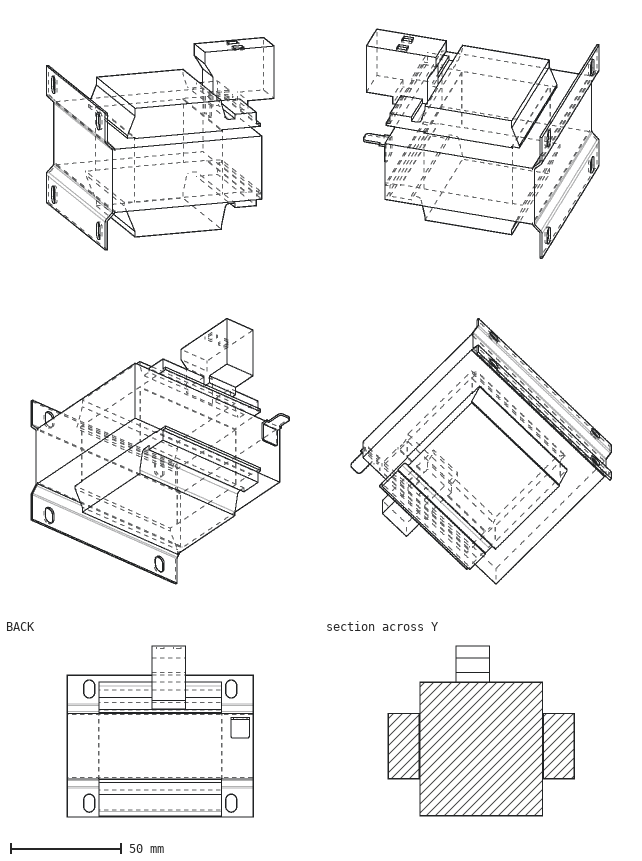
import cadquery as cq
import math


plate_width = 84.0
plate_height = 64.0
plate_thickness = 1.0
web_depth = 3.5
bend_start_z = 14.6
bend_inner_radius = 0.9
bend_outer_radius = bend_inner_radius + plate_thickness

slot_spacing_x = 64.0
slot_spacing_z = 51.5
slot_width = 4.8
slot_length = 8.0

core_front_y = web_depth + plate_thickness
core_back_y = 74.4
core_height = 29.6
core_top_z = core_height / 2
window_front_y = 18.6
window_back_y = 60.5
window_half_width = 27.9

bobbin_half_width = 27.6
winding_front_y = 19.0
winding_back_y = 60.1
back_wall_height = 1.9
flange_gap = 0.4
lip_top_z = 16.5
lip_back_y = 78.5
rail_back_y = 76.7
rail_front_y = 66.5
rail_top_z = 21.9
groove_floor_z = 19.7
groove_arc_back_y = 63.7
groove_arc_front_y = 62.0
groove_arc_top_z = 20.8
front_slope_run = 0.41
front_slope_foot_z = 16.4
upper_winding_height = 28.8
upper_front_y = 15.35
lower_winding_height = 31.45
lower_front_y = 13.9
lower_gap_front_y = 71.65

block_width = 15.3
block_center_x = -3.8
block_back_y = 93.05
block_top_z = 45.1
block_bottom_z = 20.6
block_front_y = 64.0
nose_front_y = winding_back_y
nose_bottom_z = 39.6
nose_root_z = 33.1
foot_back_y = 80.6
foot_bottom_z = 16.75

pocket_spacing = 7.6
pocket_width = 3.4
pocket_front_y = 74.9
pocket_back_y = 79.5
pocket_depth = 1.0

tab_center_x = -36.0
tab_thickness = 1.0
tab_top_z = 12.9
tab_base_width = 8.4
tab_base_back_y = 77.8
tab_blade_width = 6.1
tab_tip_y = 86.1
tab_tip_radius = 1.7
tab_leg_corner_radius = 1.1
tab_leg_thickness = 0.7
tab_leg_bottom_z = 3.5


def box(x_range, y_range, z_range):
    """Box between the given limits on each axis."""
    lengths = [high - low for low, high in (x_range, y_range, z_range)]
    corner = (x_range[0], y_range[0], z_range[0])
    return cq.Workplane("XY").box(*lengths, centered=False).translate(corner)


def extrude_along_x(points, width, center_x=0.0):
    """Extrude a closed (y, z) outline to a full width centred on center_x."""
    profile = cq.Workplane("YZ", origin=(center_x, 0, 0)).polyline(points).close()
    return profile.extrude(width / 2, both=True)


def fillet_x_edge(solid, y, z, radius):
    """Round the edge parallel to X that passes through (y, z)."""
    nearest = cq.NearestToPointSelector((solid.val().Center().x, y, z))
    return solid.edges("|X").edges(nearest).fillet(radius)


def make_plate():
    shift = plate_thickness * math.tan(math.radians(45 / 2))
    bend_end_z = bend_start_z + web_depth
    half_height = plate_height / 2
    upper = [
        (web_depth, bend_start_z),
        (0, bend_end_z),
        (0, half_height),
        (plate_thickness, half_height),
        (plate_thickness, bend_end_z + shift),
        (core_front_y, bend_start_z + shift),
    ]
    lower = [(y, -z) for y, z in reversed(upper)]
    plate = extrude_along_x(upper + lower, plate_width)
    for side in (1, -1):
        plate = fillet_x_edge(plate, web_depth, side * bend_start_z, bend_inner_radius)
        plate = fillet_x_edge(plate, 0, side * bend_end_z, bend_outer_radius)
        plate = fillet_x_edge(plate, plate_thickness, side * (bend_end_z + shift), bend_inner_radius)
        plate = fillet_x_edge(plate, core_front_y, side * (bend_start_z + shift), bend_outer_radius)
    slots = (
        cq.Workplane("XZ")
        .rarray(slot_spacing_x, slot_spacing_z, 2, 2)
        .slot2D(slot_length, slot_width, 90)
        .extrude(core_front_y, both=True)
    )
    return plate.cut(slots)


def make_core():
    half_width = plate_width / 2
    z_range = (-core_top_z, core_top_z)
    core = box((-half_width, half_width), (core_front_y, core_back_y), z_range)
    window_y = (window_front_y, window_back_y)
    core = core.cut(box((bobbin_half_width, window_half_width), window_y, z_range))
    return core.cut(box((-window_half_width, -bobbin_half_width), window_y, z_range))


def make_bobbin_end(height, front_y, gaps):
    """Part of the bobbin above the core, cut clear of it over the given y ranges."""
    front_slope_top_z = front_slope_foot_z + (winding_front_y - front_y) / front_slope_run
    end = (
        cq.Workplane("YZ")
        .moveTo(front_y, core_top_z)
        .lineTo(lip_back_y, core_top_z)
        .lineTo(lip_back_y, lip_top_z)
        .lineTo(rail_back_y, lip_top_z)
        .lineTo(rail_back_y, rail_top_z)
        .lineTo(rail_front_y, rail_top_z)
        .lineTo(rail_front_y, groove_floor_z)
        .lineTo(groove_arc_back_y, groove_floor_z)
        .tangentArcPoint((groove_arc_front_y, groove_arc_top_z), relative=False)
        .lineTo(winding_back_y, height - back_wall_height)
        .lineTo(winding_back_y, height)
        .lineTo(winding_front_y, height)
        .lineTo(winding_front_y, front_slope_top_z)
        .lineTo(front_y, front_slope_foot_z)
        .close()
        .extrude(bobbin_half_width, both=True)
    )
    for y_range in gaps:
        x_range = (-bobbin_half_width, bobbin_half_width)
        end = end.cut(box(x_range, y_range, (core_top_z, core_top_z + flange_gap)))
    return end


def make_block():
    block = extrude_along_x(
        [
            (block_back_y, block_top_z),
            (nose_front_y, block_top_z),
            (nose_front_y, nose_bottom_z),
            (block_front_y, nose_root_z),
            (block_front_y, groove_floor_z),
            (rail_back_y, groove_floor_z),
            (rail_back_y, foot_bottom_z),
            (foot_back_y, foot_bottom_z),
            (foot_back_y, block_bottom_z),
            (block_back_y, block_bottom_z),
        ],
        block_width,
        block_center_x,
    )
    for side in (1, -1):
        center_x = block_center_x + side * pocket_spacing / 2
        x_range = (center_x - pocket_width / 2, center_x + pocket_width / 2)
        z_range = (block_top_z - pocket_depth, block_top_z)
        block = block.cut(box(x_range, (pocket_front_y, pocket_back_y), z_range))
    return block


def make_tab():
    def strip(width, end_y, z_range):
        """Piece of the tab reaching back from the core to end_y."""
        x_range = (tab_center_x - width / 2, tab_center_x + width / 2)
        return box(x_range, (core_back_y, end_y), z_range)

    blade_z = (tab_top_z - tab_thickness, tab_top_z)
    leg = strip(tab_base_width, core_back_y + tab_leg_thickness, (tab_leg_bottom_z, tab_top_z))
    base = strip(tab_base_width, tab_base_back_y, blade_z)
    blade = strip(tab_blade_width, tab_tip_y, blade_z)
    leg = leg.edges("|Y and <Z").fillet(tab_leg_corner_radius)
    blade = blade.edges("|Z and >Y").fillet(tab_tip_radius)
    return leg.union(base).union(blade)


upper_bobbin = make_bobbin_end(
    upper_winding_height,
    upper_front_y,
    [(upper_front_y, winding_front_y), (winding_back_y, lip_back_y)],
)
lower_bobbin = make_bobbin_end(
    lower_winding_height,
    lower_front_y,
    [(lower_gap_front_y, lip_back_y)],
).mirror("XY")

result = (
    make_plate()
    .union(make_core())
    .union(upper_bobbin)
    .union(lower_bobbin)
    .union(make_block())
    .union(make_tab())
)